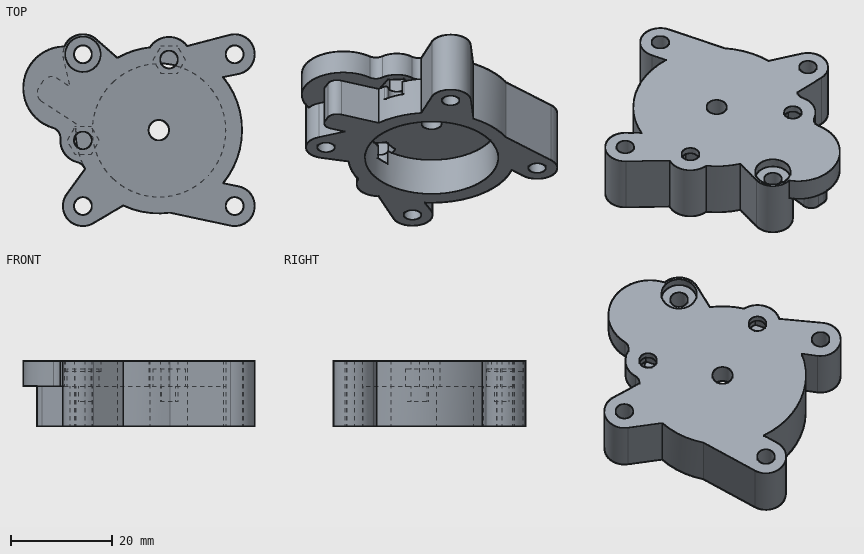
import cadquery as cq
import math

length = 45.85
depth = 38.0
height = 13.0

plate_thickness = 5.0
port_depth = 8.0
counterbore_depth = 2.0

body_radius = 16.5
cavity_radius = 13.2
shaft_hole_diameter = 4.0

ear_radius = 4.0
bolt_hole_diameter = 3.5
counterbore_diameter = 7.0
bolt_offset = depth / 2 - ear_radius

EARS = [
    (1, 1, 39.4, 77.6),
    (-1, 1, 119.8, 170.0),
    (-1, -1, 207.7, 244.8),
    (1, -1, 277.7, 320.6),
]

port_diameter = 3.5
boss_radius = 4.5
back_port = (2.0, 14.0)
side_port = (-bolt_offset, -2.0)
port_mouth_round = 0.5
mouth_reach = 1.2
nut_across_flats = 5.5
nut_roof = 1.5

lobe_radius = 8.25
lobe_center = (depth / 2 - length + lobe_radius, 8.35)
plate_fillet = 2.0

arm_end = (-23.4, 9.13)
arm_width = 5.5
arm_length = 10.55
arm_tilt = -33.0
arm_corner_radius = 2.0


def on_circle(radius, angle):
    a = math.radians(angle)
    return (radius * math.cos(a), radius * math.sin(a))


def disc(center, radius, top, thickness):
    """Vertical cylinder hanging down from the level `top`."""
    return cq.Workplane("XY", origin=(0, 0, top)).center(*center).circle(radius).extrude(-thickness)


def prism(points, top, thickness):
    """Vertical prism hanging down from the level `top`."""
    return cq.Workplane("XY", origin=(0, 0, top)).polyline(points).close().extrude(-thickness)


def tangent_point(start, center, radius, side):
    """Point where a line from `start` touches a circle, on its left (1) or right (-1)."""
    dx = center[0] - start[0]
    dy = center[1] - start[1]
    heading = math.atan2(dy, dx) + side * math.asin(radius / math.hypot(dx, dy))
    normal = heading + side * math.pi / 2
    return (center[0] + radius * math.cos(normal), center[1] + radius * math.sin(normal))


def circle_crossing(center_a, radius_a, center_b, radius_b, side):
    """Crossing of two circles, left (1) or right (-1) of the line from a to b."""
    dx = center_b[0] - center_a[0]
    dy = center_b[1] - center_a[1]
    gap = math.hypot(dx, dy)
    along = (gap**2 + radius_a**2 - radius_b**2) / (2 * gap)
    across = side * math.sqrt(radius_a**2 - along**2)
    return (
        center_a[0] + (along * dx - across * dy) / gap,
        center_a[1] + (along * dy + across * dx) / gap,
    )


def ear(center, first_angle, last_angle):
    """Rounded ear whose straight sides run from the body circle to its tip."""
    first = on_circle(body_radius, first_angle)
    last = on_circle(body_radius, last_angle)
    first_touch = tangent_point(first, center, ear_radius, -1)
    last_touch = tangent_point(last, center, ear_radius, 1)
    web = prism([(0, 0), first, first_touch, center, last_touch, last], 0, height)
    return web.union(disc(center, ear_radius, 0, height))


def fillet_web(center_a, radius_a, center_b, radius_b, side):
    """Plate material that blends two discs with a concave fillet."""
    middle = circle_crossing(
        center_a, radius_a + plate_fillet, center_b, radius_b + plate_fillet, side
    )
    web = prism([center_a, middle, center_b], 0, plate_thickness)
    return web.cut(disc(middle, plate_fillet, 0, plate_thickness))


def arm():
    """Tilted arm with a rounded end, standing below the plate."""
    arm_height = height - plate_thickness
    bar = (
        cq.Workplane("XY")
        .box(arm_length, arm_width, arm_height, centered=(False, True, False))
        .edges("|Z and <X")
        .fillet(arm_corner_radius)
    )
    return bar.rotate((0, 0, 0), (0, 0, 1), arm_tilt).translate((*arm_end, -height))


def side_port_mouth():
    """Opening from the side port out through the body wall, with rounded edges."""
    mouth_height = port_depth - plate_thickness
    round_centers = [
        circle_crossing(
            (0, 0),
            body_radius - port_mouth_round,
            side_port,
            port_diameter / 2 + port_mouth_round,
            side,
        )
        for side in (1, -1)
    ]
    outer = [(x * mouth_reach, y * mouth_reach) for x, y in round_centers]
    mouth = prism(
        [side_port, round_centers[0], outer[0], outer[1], round_centers[1]],
        -plate_thickness,
        mouth_height,
    )
    for center in round_centers:
        mouth = mouth.cut(disc(center, port_mouth_round, -plate_thickness, mouth_height))
    return mouth


def nut_pocket(center):
    """Hexagonal pocket around a port, with two flats square to Y."""
    across_corners = nut_across_flats / math.cos(math.pi / 6)
    return (
        cq.Workplane("XY", origin=(0, 0, -nut_roof))
        .center(*center)
        .polygon(6, across_corners)
        .extrude(nut_roof - plate_thickness)
    )


ear_centers = [(sx * bolt_offset, sy * bolt_offset) for sx, sy, _, _ in EARS]
lobe_side_ear = ear_centers[1]
part = disc((0, 0), body_radius, 0, height)
for center, (_, _, first_angle, last_angle) in zip(ear_centers, EARS):
    part = part.union(ear(center, first_angle, last_angle))
part = part.union(disc(back_port, boss_radius, 0, height))
part = part.union(arm())
part = part.cut(disc((0, 0), cavity_radius, -plate_thickness, height - plate_thickness))
part = part.cut(side_port_mouth())

part = part.union(prism([(0, 0), lobe_side_ear, lobe_center, side_port], 0, plate_thickness))
part = part.union(disc(lobe_center, lobe_radius, 0, plate_thickness))
part = part.union(disc(side_port, boss_radius, 0, plate_thickness))
part = part.union(fillet_web(lobe_center, lobe_radius, side_port, boss_radius, -1))
part = part.union(fillet_web(side_port, boss_radius, (0, 0), body_radius, -1))

part = part.cut(disc((0, 0), shaft_hole_diameter / 2, 0, height))
for center in ear_centers:
    part = part.cut(disc(center, bolt_hole_diameter / 2, 0, height))
part = part.cut(disc(lobe_side_ear, counterbore_diameter / 2, 0, counterbore_depth))
for center in (back_port, side_port):
    part = part.cut(disc(center, port_diameter / 2, 0, port_depth))
    part = part.cut(nut_pocket(center))

result = part